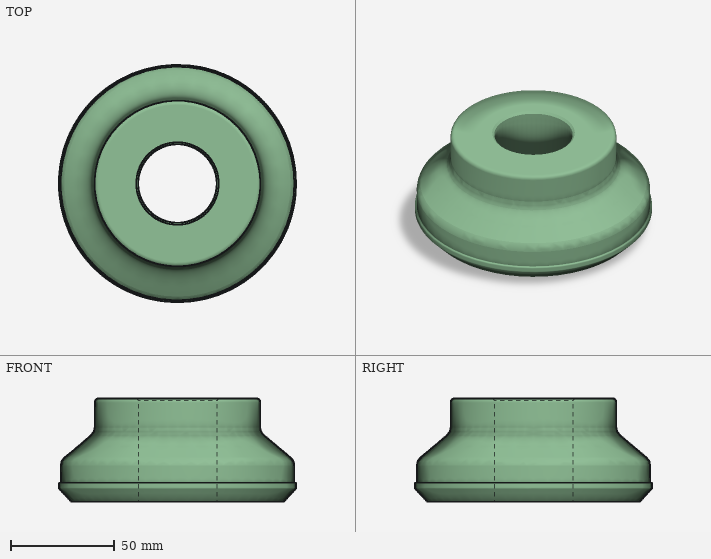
import cadquery as cq
import math

rim_radius = 57.4
total_height = 50.0
bore_radius = 18.9
bore_chamfer = 1.0

base_height = 9.3
rim_top_fillet = 0.7
bevel_height = 6.5
bevel_run = 6.1
rim_corner_fillet = 0.9
base_bottom_fillet = 0.7

skirt_radius = 56.5
neck_radius = 40.0
cone_angle = 40.0
shoulder_base_z = 19.9
shoulder_fillet = 5.0
neck_top_fillet = 2.0
shoulder_top_z = shoulder_base_z + (skirt_radius - neck_radius) * math.tan(math.radians(cone_angle))


def circle_edges_at(body, radius, z):
    """Select the circular edges of the given radius centred on the axis at height z."""
    tolerance = 0.01
    return body.edges("%CIRCLE").filter(
        lambda edge: abs(edge.radius() - radius) < tolerance and abs(edge.Center().z - z) < tolerance
    )


def revolve_profile(points):
    """Turn a closed (radius, height) outline about the Z axis."""
    return cq.Workplane("XZ").polyline(points).close().revolve(360, (0, 0), (0, 1))


def make_base():
    """Bored disc with a bevelled underside and softened rim."""
    bottom_radius = rim_radius - bevel_run
    base = revolve_profile([
        (bore_radius, 0),
        (bottom_radius, 0),
        (rim_radius, bevel_height),
        (rim_radius, base_height),
        (bore_radius, base_height),
    ])
    base = circle_edges_at(base, rim_radius, base_height).fillet(rim_top_fillet)
    base = circle_edges_at(base, rim_radius, bevel_height).fillet(rim_corner_fillet)
    return circle_edges_at(base, bottom_radius, 0).fillet(base_bottom_fillet)


def make_housing():
    """Bored housing with a cylindrical skirt, conical shoulder and narrower neck."""
    housing = revolve_profile([
        (bore_radius, base_height),
        (skirt_radius, base_height),
        (skirt_radius, shoulder_base_z),
        (neck_radius, shoulder_top_z),
        (neck_radius, total_height),
        (bore_radius, total_height),
    ])
    housing = circle_edges_at(housing, skirt_radius, shoulder_base_z).fillet(shoulder_fillet)
    housing = circle_edges_at(housing, neck_radius, shoulder_top_z).fillet(shoulder_fillet)
    housing = circle_edges_at(housing, neck_radius, total_height).fillet(neck_top_fillet)
    return circle_edges_at(housing, bore_radius, total_height).chamfer(bore_chamfer)


base = make_base()
housing = make_housing()

result = cq.Compound.makeCompound([base.val(), housing.val()])